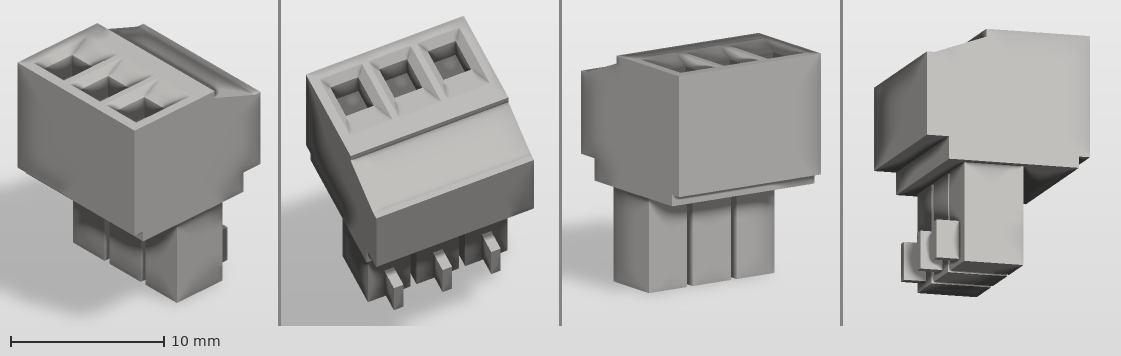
import cadquery as cq

width = 11.3
depth = 11.18
height = 15.49

pole_count = 3
pole_pitch = 3.49
pole_width = 3.04

housing_bottom = 6.61
top_land_back = 7.11
top_step = 0.53
shoulder_height = 13.7
shoulder_depth = 0.53
front_notch_depth = 0.76
front_notch_top = 7.37
rear_notch_depth = 1.52
rear_notch_top = 8.12

mouth_front = 0.75
mouth_back = 5.6
mouth_depth = 0.5
well_width = 2.0
well_front = 1.3
well_back = 3.78
well_depth = 1.58

leg_front = 4.35
leg_back = 8.41
key_width = 0.68
key_projection = 1.52
key_bottom = 0.39
key_top = 2.93


def box_between(center_x, size_x, front, back, bottom, top):
    """Box centred on center_x that spans the given Y and Z limits."""
    return (
        cq.Workplane("XY")
        .box(size_x, back - front, top - bottom, centered=(True, False, False))
        .translate((center_x, front, bottom))
    )


def make_housing():
    """Stepped side profile extruded over the full width."""
    profile = [
        (0, height),
        (top_land_back, height),
        (top_land_back, height - top_step),
        (depth - shoulder_depth, shoulder_height),
        (depth, shoulder_height),
        (depth, rear_notch_top),
        (depth - rear_notch_depth, rear_notch_top),
        (depth - rear_notch_depth, housing_bottom),
        (front_notch_depth, housing_bottom),
        (front_notch_depth, front_notch_top),
        (0, front_notch_top),
    ]
    return cq.Workplane("YZ").polyline(profile).close().extrude(width / 2, both=True)


def make_pocket(center_x):
    """Four-sided funnel that narrows, off-centre in Y, into a straight well."""
    mouth_middle = (mouth_front + mouth_back) / 2
    well_middle = (well_front + well_back) / 2
    well_top = height - mouth_depth
    mouth = (
        cq.Workplane("XY", origin=(center_x, mouth_middle, height))
        .rect(pole_width, mouth_back - mouth_front)
        .workplane(offset=-mouth_depth)
        .center(0, well_middle - mouth_middle)
        .rect(well_width, well_back - well_front)
        .loft(ruled=True)
    )
    well = box_between(center_x, well_width, well_front, well_back, well_top - well_depth, well_top)
    return mouth.union(well)


def make_leg(center_x):
    """Rectangular leg with a narrow key on its rear face."""
    leg = box_between(center_x, pole_width, leg_front, leg_back, 0, housing_bottom)
    key = box_between(center_x, key_width, leg_back, leg_back + key_projection, key_bottom, key_top)
    return leg.union(key)


result = make_housing()
for index in range(pole_count):
    pole_x = (index - (pole_count - 1) / 2) * pole_pitch
    result = result.union(make_leg(pole_x)).cut(make_pocket(pole_x))

result = result.translate((0, -depth / 2, -height / 2))